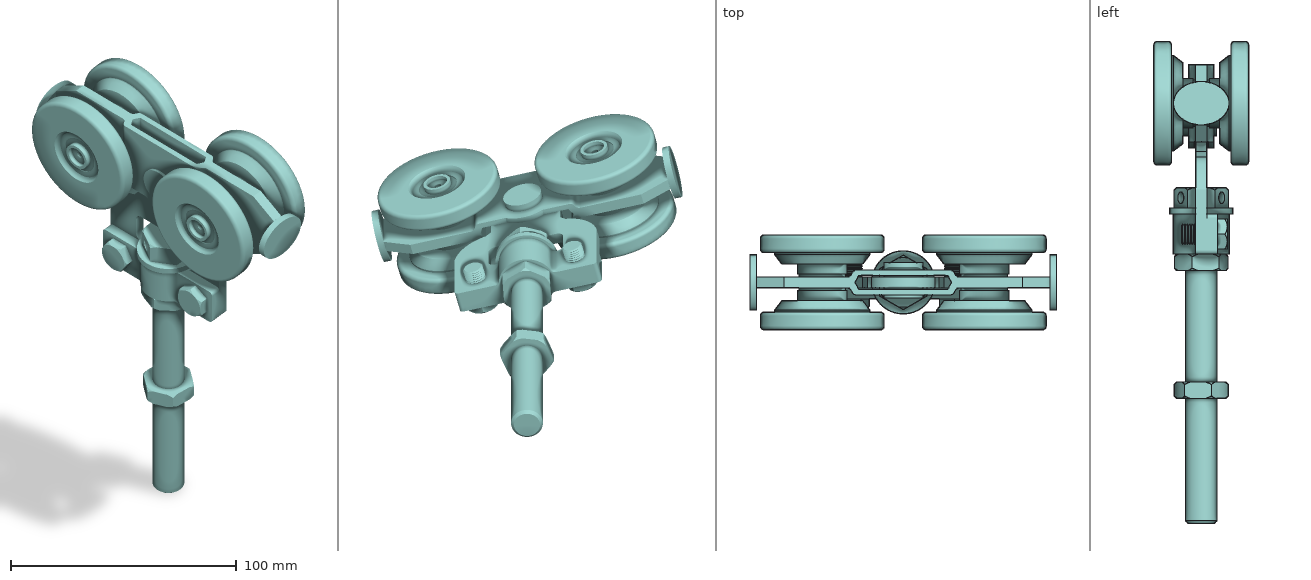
import cadquery as cq
import math


total_width = 42.0
total_height = 213.7

wheel_dia = 55.0
wheel_x = 36.0
wheel_outer_y = total_width / 2
rim_width = 8.0
rim_fillet = 1.7
cone_large_dia = 42.3
cone_small_dia = 36.0
cone_land = 0.9
cone_end_y = 8.1
hub_dia = 22.0
hub_end_y = 3.6
spacer_dia = 20.7

recess_outer_dia = 26.0
recess_floor_dia = 22.9
recess_depth = 2.1
bearing_inner_dia = 17.3
bearing_step = 0.5
rivet_dia = 12.2
rivet_bore_dia = 9.5
rivet_bore_depth = 2.1
rivet_hole_dia = 3.0
rivet_hole_depth = 1.0

hanger_thickness = 5.0
sheet = hanger_thickness / 2
carriage_top_z = 17.0
shoulder_x = 52.8
carriage_end_x = 68.0
cap_thickness = 3.0
end_half_height = 9.6
cap_width = 24.5
cap_height = 19.2
pocket_gap = 6.2
pocket_tip_x = 21.4
bend_run = 1.7
bend_outer_x = 22.0
bend_fillet = 2.1

pivot_z = -5.8
pivot_dia = 17.3
pivot_front_y = -6.8
pivot_back_y = 8.8
boss_radius = 14.0

neck_half_width = 15.8
neck_top_z = -12.8
neck_bottom_z = -21.4
shoulder_start_x = 18.2
shoulder_start_z = -23.7
shoulder_mid_x = 26.3
shoulder_mid_z = -27.8
hanger_half_width = 32.5
side_top_z = -38.3
window_half_width = 17.0
window_top_z = -34.6
window_fillet = 3.2

clamp_top_z = -49.1
clamp_bottom_z = -66.9
corner_fillet = 1.7
ear_front_y = -7.3
sleeve_dia = 25.0
sleeve_root_fillet = 2.1
screw_x = 22.7
screw_head_af = 13.2
screw_chamfer_dia = 13.2
screw_head_height = 4.3
screw_dia = 9.0
thread_root_dia = 7.7
thread_count = 6
screw_end_y = 8.8

rod_dia = 14.0
rod_bottom_z = wheel_dia / 2 - total_height
rod_chamfer = 1.3
hex_af = 21.0
hex_chamfer_dia = 22.0
head_top_z = -37.5
washer_dia = 28.0
washer_thickness = 2.8
head_hole_dia = 5.1
head_hole_depth = 3.2
nut_height = 7.3
clamp_nut_turn = 10.5
lock_nut_turn = -8
lock_nut_top_z = -123.5

hanger_half = hanger_thickness / 2
sheet_outer_y = pocket_gap / 2 + sheet


def cylinder_y(dia, y_start, y_end, x=0.0, z=0.0):
    """Cylinder along Y between two Y positions."""
    return cq.Workplane("XZ", origin=(x, y_end, z)).circle(dia / 2).extrude(y_end - y_start)


def cylinder_z(dia, z_bottom, z_top):
    """Cylinder on the Z axis between two heights."""
    return cq.Workplane("XY", origin=(0, 0, z_bottom)).circle(dia / 2).extrude(z_top - z_bottom)


def chamfered_hexagon(flats, chamfer_dia, height, chamfer_bottom=True):
    """Hexagon on the Z axis from Z = 0 up, a corner facing -Y, its corners chamfered at 45 degrees."""
    corner_r = flats / math.sqrt(3)
    body = cq.Workplane("XY").polygon(6, 2 * corner_r).extrude(height).rotate((0, 0, 0), (0, 0, 1), 90)
    chamfered_edges = "%CIRCLE" if chamfer_bottom else ">Z"
    envelope = (
        cq.Workplane("XY")
        .circle(corner_r)
        .extrude(height)
        .edges(chamfered_edges)
        .chamfer(corner_r - chamfer_dia / 2)
    )
    return body.intersect(envelope)


def make_nut(bottom_z, turn):
    """Nut-shaped hexagon on the bolt axis, turned by `turn` degrees."""
    nut = chamfered_hexagon(hex_af, hex_chamfer_dia, nut_height)
    return nut.rotate((0, 0, 0), (0, 0, 1), turn).translate((0, 0, bottom_z))


def make_wheel():
    """Wheel on the Y axis on the -Y side, with its hub reaching the carriage sheets."""
    rim_inner_y = wheel_outer_y - rim_width
    rim = cylinder_y(wheel_dia, -wheel_outer_y, -rim_inner_y).edges().fillet(rim_fillet)
    cone = (
        cq.Workplane("XY")
        .moveTo(0, -rim_inner_y)
        .lineTo(cone_large_dia / 2, -rim_inner_y)
        .lineTo(cone_large_dia / 2, -rim_inner_y + cone_land)
        .lineTo(cone_small_dia / 2, -cone_end_y)
        .lineTo(0, -cone_end_y)
        .close()
        .revolve(360, (0, 0, 0), (0, 1, 0))
    )
    hub = cylinder_y(hub_dia, -cone_end_y, -hub_end_y)
    spacer = cylinder_y(spacer_dia, -hub_end_y, -sheet)
    wheel = rim.union(cone).union(hub).union(spacer)

    floor_y = recess_depth - wheel_outer_y
    recess = (
        cq.Workplane("XY")
        .moveTo(0, -wheel_outer_y)
        .lineTo(recess_outer_dia / 2, -wheel_outer_y)
        .lineTo(recess_floor_dia / 2, floor_y)
        .lineTo(0, floor_y)
        .close()
        .revolve(360, (0, 0, 0), (0, 1, 0))
    )
    bearing_floor_y = floor_y + bearing_step
    bearing_recess = cylinder_y(bearing_inner_dia, floor_y, bearing_floor_y)
    rivet = cylinder_y(rivet_dia, -wheel_outer_y, bearing_floor_y)
    bore_floor_y = rivet_bore_depth - wheel_outer_y
    rivet_bore = cylinder_y(rivet_bore_dia, -wheel_outer_y, bore_floor_y)
    rivet_hole = cylinder_y(rivet_hole_dia, bore_floor_y, bore_floor_y + rivet_hole_depth)
    return wheel.cut(recess).cut(bearing_recess).union(rivet).cut(rivet_bore).cut(rivet_hole)


def make_carriage():
    """Twin-sheet carriage with its open pocket, end caps and pivot pin."""
    cap_inner_x = carriage_end_x - cap_thickness
    side_outline = (
        cq.Workplane("XZ")
        .polyline(
            [
                (-cap_inner_x, end_half_height),
                (-shoulder_x, carriage_top_z),
                (shoulder_x, carriage_top_z),
                (cap_inner_x, end_half_height),
                (cap_inner_x, -end_half_height),
                (shoulder_x, -carriage_top_z),
                (-shoulder_x, -carriage_top_z),
                (-cap_inner_x, -end_half_height),
            ]
        )
        .close()
        .extrude(sheet_outer_y, both=True)
        .union(cylinder_y(2 * boss_radius, -sheet_outer_y, sheet_outer_y, z=pivot_z))
    )
    right_side = [
        (bend_outer_x, sheet_outer_y),
        (bend_outer_x + bend_run, sheet),
        (cap_inner_x, sheet),
    ]
    right_side += [(x, -y) for x, y in reversed(right_side)]
    left_side = [(-x, -y) for x, y in right_side]
    height = 2 * carriage_top_z
    bends = cq.selectors.BoxSelector(
        (-shoulder_x, -cap_width, -height), (shoulder_x, cap_width, height)
    )
    plan = (
        cq.Workplane("XY")
        .polyline(right_side + left_side)
        .close()
        .extrude(height, both=True)
        .edges("|Z")
        .edges(bends)
        .fillet(bend_fillet)
    )
    pocket_side_x = pocket_tip_x - bend_run
    pocket = (
        cq.Workplane("XY")
        .polyline(
            [
                (-pocket_tip_x, 0),
                (-pocket_side_x, pocket_gap / 2),
                (pocket_side_x, pocket_gap / 2),
                (pocket_tip_x, 0),
                (pocket_side_x, -pocket_gap / 2),
                (-pocket_side_x, -pocket_gap / 2),
            ]
        )
        .close()
        .extrude(height, both=True)
    )
    carriage = side_outline.intersect(plan).cut(pocket)
    for side_start_x in (-carriage_end_x, cap_inner_x):
        cap = (
            cq.Workplane("YZ", origin=(side_start_x, 0, 0))
            .ellipse(cap_width / 2, cap_height / 2)
            .extrude(cap_thickness)
        )
        carriage = carriage.union(cap)
    return carriage.union(cylinder_y(pivot_dia, pivot_front_y, pivot_back_y, z=pivot_z))


def make_trolley():
    """Carriage with two wheels on each side."""
    trolley = make_carriage()
    front_wheel = make_wheel()
    for wheel in (front_wheel, front_wheel.mirror("XZ")):
        for x in (-wheel_x, wheel_x):
            trolley = trolley.union(wheel.translate((x, 0, 0)))
    return trolley


def make_hanger_plate():
    """Flat hanger with a round head on the pivot pin and a window for the bolt head."""
    outline = (
        cq.Workplane("XZ")
        .moveTo(-neck_half_width, neck_top_z)
        .lineTo(neck_half_width, neck_top_z)
        .lineTo(neck_half_width, neck_bottom_z)
        .lineTo(shoulder_start_x, shoulder_start_z)
        .threePointArc((shoulder_mid_x, shoulder_mid_z), (hanger_half_width, side_top_z))
        .lineTo(hanger_half_width, clamp_bottom_z)
        .lineTo(-hanger_half_width, clamp_bottom_z)
        .lineTo(-hanger_half_width, side_top_z)
        .threePointArc((-shoulder_mid_x, shoulder_mid_z), (-shoulder_start_x, shoulder_start_z))
        .lineTo(-neck_half_width, neck_bottom_z)
        .close()
        .extrude(hanger_half, both=True)
        .edges("|Y and <Z")
        .fillet(corner_fillet)
    )
    head = cylinder_y(2 * boss_radius, -hanger_half, hanger_half, z=pivot_z)
    window_height = window_top_z - clamp_top_z
    window = (
        cq.Workplane("XY", origin=(0, 0, clamp_top_z))
        .box(2 * window_half_width, hanger_thickness, window_height, centered=(True, True, False))
        .edges("|Y")
        .fillet(window_fillet)
    )
    pin_hole = cylinder_y(pivot_dia, -hanger_half, hanger_half, z=pivot_z)
    return outline.union(head).cut(pin_hole).cut(window)


def make_sleeve_root(face_y):
    """Concave fillets along both sides of the sleeve where it leaves a flat face at `face_y`."""
    sleeve_r = sleeve_dia / 2
    side = math.copysign(1, face_y)
    center_y = face_y + side * sleeve_root_fillet
    center_x = math.sqrt((sleeve_r + sleeve_root_fillet) ** 2 - center_y**2)
    tangent_scale = sleeve_r / (sleeve_r + sleeve_root_fillet)
    tangent_x = center_x * tangent_scale
    tangent_y = center_y * tangent_scale
    mid_angle = (math.atan2(-abs(center_y), -center_x) - math.pi / 2) / 2
    mid_x = center_x + sleeve_root_fillet * math.cos(mid_angle)
    mid_y = center_y + side * sleeve_root_fillet * math.sin(mid_angle)
    return (
        cq.Workplane("XY", origin=(0, 0, clamp_bottom_z))
        .moveTo(-center_x, face_y)
        .threePointArc((-mid_x, mid_y), (-tangent_x, tangent_y))
        .lineTo(tangent_x, tangent_y)
        .threePointArc((mid_x, mid_y), (center_x, face_y))
        .close()
        .extrude(clamp_top_z - clamp_bottom_z)
    )


def make_clamp():
    """Sleeve around the bolt with two ears lying on the front of the hanger."""
    height = clamp_top_z - clamp_bottom_z
    ears = (
        cq.Workplane("XZ", origin=(0, -hanger_half, (clamp_top_z + clamp_bottom_z) / 2))
        .rect(2 * hanger_half_width, height)
        .extrude(-ear_front_y - hanger_half)
        .edges("|Y")
        .fillet(corner_fillet)
    )
    sleeve = cylinder_z(sleeve_dia, clamp_bottom_z, clamp_top_z)
    front_root = make_sleeve_root(ear_front_y)
    back_root = make_sleeve_root(hanger_half)
    return ears.union(sleeve).union(front_root).union(back_root)


def make_thread():
    """Ring-shaped thread ridges on the screw end behind the hanger plate, about the Y axis."""
    pitch = (screw_end_y - hanger_half) / thread_count
    profile = cq.Workplane("XY").moveTo(0, hanger_half).lineTo(thread_root_dia / 2, hanger_half)
    for ridge in range(thread_count):
        root_y = hanger_half + ridge * pitch
        profile = profile.lineTo(screw_dia / 2, root_y + pitch / 2)
        profile = profile.lineTo(thread_root_dia / 2, root_y + pitch)
    return profile.lineTo(0, screw_end_y).close().revolve(360, (0, 0, 0), (0, 1, 0))


def make_screw(x, turn):
    """Hexagon screw through an ear and the hanger plate, its head turned by `turn` degrees."""
    z = (clamp_top_z + clamp_bottom_z) / 2
    head = (
        chamfered_hexagon(screw_head_af, screw_chamfer_dia, screw_head_height, chamfer_bottom=False)
        .rotate((0, 0, 0), (1, 0, 0), 90)
        .rotate((0, 0, 0), (0, 1, 0), turn)
        .translate((x, ear_front_y, z))
    )
    shank = cylinder_y(screw_dia, ear_front_y, hanger_half, x, z)
    return head.union(shank).union(make_thread().translate((x, 0, z)))


def make_hanger():
    """Hanger plate with its clamp and screws, bored for the bolt."""
    hanger = make_hanger_plate().union(make_clamp())
    for x, turn in ((-screw_x, 30), (screw_x, 0)):
        hanger = hanger.union(make_screw(x, turn))
    return hanger.cut(cylinder_z(rod_dia, clamp_bottom_z, clamp_top_z))


def make_bolt():
    """Rod with a drilled hexagon head, a washer above the clamp and a nut below it."""
    washer_top_z = clamp_top_z + washer_thickness
    rod = cylinder_z(rod_dia, rod_bottom_z, washer_top_z).faces("<Z").edges().chamfer(rod_chamfer)
    washer = cylinder_z(washer_dia, clamp_top_z, washer_top_z)
    head_height = head_top_z - washer_top_z
    head = chamfered_hexagon(hex_af, hex_chamfer_dia, head_height, chamfer_bottom=False)
    head = head.translate((0, 0, washer_top_z))
    head_mid_z = (washer_top_z + head_top_z) / 2
    hole = cylinder_y(head_hole_dia, -hex_af / 2, -hex_af / 2 + head_hole_depth, z=head_mid_z)
    for turn in (-30, -150):
        head = head.cut(hole.rotate((0, 0, 0), (0, 0, 1), turn))
    clamp_nut = make_nut(clamp_bottom_z - nut_height, clamp_nut_turn)
    return rod.union(washer).union(head).union(clamp_nut)


def make_lock_nut():
    """Nut fitting around the rod partway down."""
    bottom_z = lock_nut_top_z - nut_height
    return make_nut(bottom_z, lock_nut_turn).cut(cylinder_z(rod_dia, bottom_z, lock_nut_top_z))


trolley = make_trolley()
hanger = make_hanger()
bolt = make_bolt()
lock_nut = make_lock_nut()

result = cq.Compound.makeCompound([trolley.val(), hanger.val(), bolt.val(), lock_nut.val()])